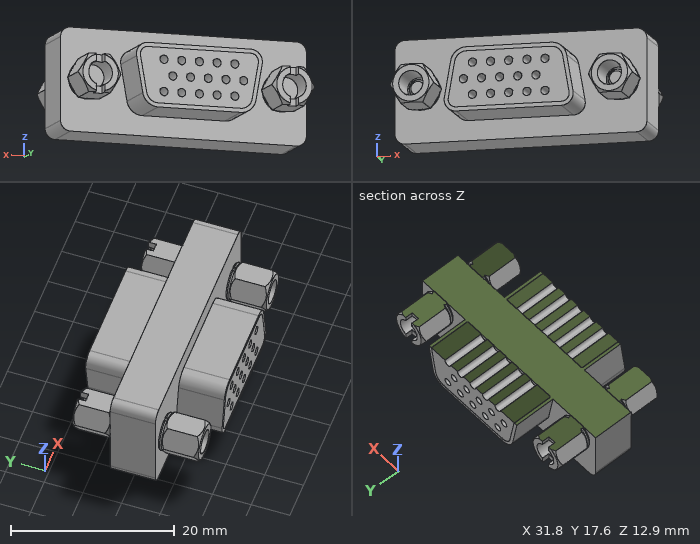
import cadquery as cq
import math

PLATE_LENGTH = 31.75
PLATE_THICKNESS = 5.85
PLATE_HEIGHT = 12.95
PLATE_CORNER_RADIUS = 1.27

OVERALL_DEPTH = 17.65
SHELL_LENGTH = (OVERALL_DEPTH - PLATE_THICKNESS) / 2
SHELL_HEIGHT = 7.95
SHELL_WIDE_HALF = 8.4
SHELL_SIDE_ANGLE = 10.0
SHELL_NARROW_HALF = SHELL_WIDE_HALF - SHELL_HEIGHT * math.tan(math.radians(SHELL_SIDE_ANGLE))
SHELL_WIDE_RADIUS = 1.5
SHELL_NARROW_RADIUS = 2.0
SHELL_WALL = 0.5

CONTACTS_PER_ROW = 5
CONTACT_PITCH = 2.3
CONTACT_ROW_SPACING = 2.0
CONTACT_DIAMETER = 1.02

FASTENER_X = 12.5
HEX_ACROSS_FLATS = 4.8
HEX_ACROSS_CORNERS = HEX_ACROSS_FLATS / math.cos(math.radians(30))
HEX_LENGTH = 4.83
HEX_END_RADIUS = 2.3
HEX_CHAMFER = HEX_ACROSS_CORNERS / 2 - HEX_END_RADIUS
WASHER_THICKNESS = 0.38
WASHER_RIDGE_RADIUS = 2.4
WASHER_FACE_RADIUS = 2.3
WASHER_SPLIT_WIDTH = 0.5
WASHER_SPLIT_DEPTH = 0.32
SEAT_Y = PLATE_THICKNESS / 2
BORE_RADIUS = 1.52
SLOT_WIDTH = 1.08
SLOT_DEPTH = 1.05
SOCKET_DEPTH = 3.18

STUD_RADIUS = 1.45
STUD_TIP_Y = -4.75
STUD_SHOULDER_RADIUS = 1.15
STUD_TIP_RADIUS = 0.85
STUD_NECK_LENGTH = 0.15


def turned(profile):
    """Revolve closed (radius, y) points about the Y axis."""
    return cq.Workplane("XY").polyline(profile).close().revolve(360, (0, 0), (0, 1))


def along_y(y):
    """Sketch plane at position y, with X to the right, Z up and extrusion towards -Y."""
    return cq.Workplane("XZ", origin=(0, y, 0))


def rounded_d(length, inset):
    """D-shaped block facing -Y with its wide edge at the bottom, shrunk evenly by the inset."""
    half_height = SHELL_HEIGHT / 2
    block = (
        along_y(-SEAT_Y)
        .polyline([
            (-SHELL_WIDE_HALF, -half_height),
            (SHELL_WIDE_HALF, -half_height),
            (SHELL_NARROW_HALF, half_height),
            (-SHELL_NARROW_HALF, half_height),
        ])
        .close()
        .extrude(length)
    )
    block = block.edges("|Y and <Z").fillet(SHELL_WIDE_RADIUS)
    block = block.edges("|Y").edges(">Z").fillet(SHELL_NARROW_RADIUS)
    if inset == 0:
        return block
    return block.faces("<Y").wires().toPending().workplane().offset2D(-inset).extrude(-length, combine=False)


def both_sides(front):
    """The front body and its copy turned half a turn about X, which is upside down at the rear."""
    return [front, front.rotate((0, 0, 0), (1, 0, 0), 180)]


def make_housing():
    housing = along_y(SEAT_Y).rect(PLATE_LENGTH, PLATE_HEIGHT).extrude(PLATE_THICKNESS)
    housing = housing.edges("|Y").fillet(PLATE_CORNER_RADIUS)
    for shell in both_sides(rounded_d(SHELL_LENGTH, 0)):
        housing = housing.union(shell)
    for pocket in both_sides(rounded_d(SHELL_LENGTH, SHELL_WALL)):
        housing = housing.cut(pocket)
    stud_holes = (
        along_y(SEAT_Y)
        .pushPoints([(-FASTENER_X, 0), (FASTENER_X, 0)])
        .circle(STUD_RADIUS)
        .extrude(PLATE_THICKNESS)
    )
    return housing.cut(stud_holes)


def contact_points():
    """Three rows of contacts, the middle row shifted half a pitch towards -X."""
    points = []
    for row in (-1, 0, 1):
        shift = -CONTACT_PITCH / 2 if row == 0 else 0
        for column in range(CONTACTS_PER_ROW):
            x = (column - (CONTACTS_PER_ROW - 1) / 2) * CONTACT_PITCH + shift
            points.append((x, row * CONTACT_ROW_SPACING))
    return points


def make_insert():
    """Contact block that fills the front shell flush with its rim."""
    holes = along_y(-SEAT_Y).pushPoints(contact_points()).circle(CONTACT_DIAMETER / 2).extrude(SHELL_LENGTH)
    return rounded_d(SHELL_LENGTH, SHELL_WALL).cut(holes)


def make_hex():
    """Hexagon with chamfered corners on a split washer collar, standing on y = 0 towards -Y."""
    hex_start = WASHER_THICKNESS
    hex_end = hex_start + HEX_LENGTH
    corner_radius = HEX_ACROSS_CORNERS / 2
    prism = along_y(-hex_start).polygon(6, HEX_ACROSS_CORNERS).extrude(HEX_LENGTH)
    corner_trim = turned([
        (0, -hex_start),
        (HEX_END_RADIUS, -hex_start),
        (corner_radius, -hex_start - HEX_CHAMFER),
        (corner_radius, -hex_end + HEX_CHAMFER),
        (HEX_END_RADIUS, -hex_end),
        (0, -hex_end),
    ])
    washer = turned([
        (0, 0),
        (WASHER_FACE_RADIUS, 0),
        (WASHER_RIDGE_RADIUS, -WASHER_THICKNESS / 2),
        (WASHER_FACE_RADIUS, -WASHER_THICKNESS),
        (0, -WASHER_THICKNESS),
    ])
    split = cq.Workplane("XY").box(
        WASHER_SPLIT_WIDTH, WASHER_THICKNESS, WASHER_SPLIT_DEPTH, centered=(True, False, False)
    ).translate((0, -WASHER_THICKNESS, WASHER_RIDGE_RADIUS - WASHER_SPLIT_DEPTH))
    return prism.intersect(corner_trim).union(washer.cut(split))


def make_nut():
    """Plain hex nut on the front of the plate, bored right through."""
    bore = along_y(0).circle(BORE_RADIUS).extrude(WASHER_THICKNESS + HEX_LENGTH)
    return make_hex().cut(bore).translate((0, -SEAT_Y, 0))


def make_screw():
    """Slotted hex screw at the rear, with a socket in its head and a stud reaching into the nut."""
    head_end = SEAT_Y + WASHER_THICKNESS + HEX_LENGTH
    head = make_hex().rotate((0, 0, 0), (0, 0, 1), 180).translate((0, SEAT_Y, 0))
    socket = along_y(head_end).circle(BORE_RADIUS).extrude(SOCKET_DEPTH)
    slot = cq.Workplane("XY").box(SLOT_WIDTH, 2 * SLOT_DEPTH, HEX_ACROSS_CORNERS).translate((0, head_end, 0))
    shoulder_y = STUD_TIP_Y + (STUD_SHOULDER_RADIUS - STUD_TIP_RADIUS)
    neck_y = shoulder_y + STUD_NECK_LENGTH
    stud = turned([
        (0, SEAT_Y),
        (STUD_RADIUS, SEAT_Y),
        (STUD_RADIUS, neck_y + STUD_RADIUS - STUD_SHOULDER_RADIUS),
        (STUD_SHOULDER_RADIUS, neck_y),
        (STUD_SHOULDER_RADIUS, shoulder_y),
        (STUD_TIP_RADIUS, STUD_TIP_Y),
        (0, STUD_TIP_Y),
    ])
    return head.cut(socket).cut(slot).union(stud)


housing = make_housing()
bodies = [housing.val()]
for insert in both_sides(make_insert()):
    bodies.append(insert.val())
for side in (-1, 1):
    offset = (side * FASTENER_X, 0, 0)
    nut = make_nut().translate(offset)
    screw = make_screw().translate(offset)
    bodies.append(nut.val())
    bodies.append(screw.val())

result = cq.Compound.makeCompound(bodies)